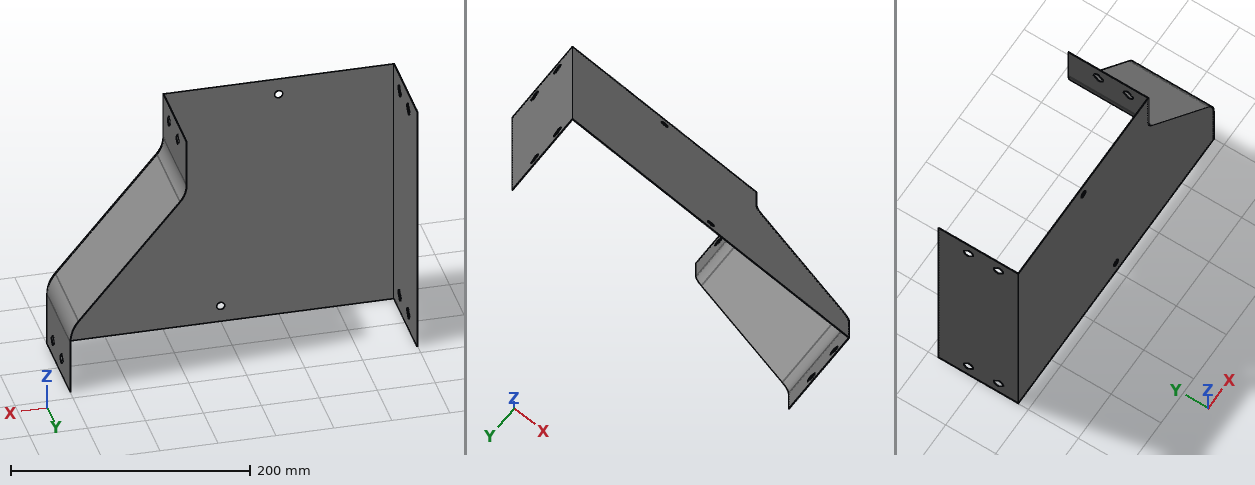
import cadquery as cq

length = 300.0
depth = 80.0
height = 230.0
thickness = 0.8

top_length = 199.8
upper_bend_z = 179.0
lower_bend_z = 60.0
upper_bend_radius = 24.0
lower_bend_radius = 30.0

hole_diameter = 7.0
edge_margin = 15.0
double_d_diameter = 10.0
double_d_width = hole_diameter
double_d_angle = 45.0
first_hole_y = 20.0
hole_spacing = 30.0


def profile_prism():
    """Filled side outline, extruded over the full depth, with rounded bends."""
    outline = [
        (0, 0),
        (length, 0),
        (length, lower_bend_z),
        (top_length, upper_bend_z),
        (top_length, height),
        (0, height),
    ]
    prism = cq.Workplane("XZ").polyline(outline).close().extrude(-depth)
    bends = [
        (length, lower_bend_z, lower_bend_radius),
        (top_length, upper_bend_z, upper_bend_radius),
    ]
    for x, z, radius in bends:
        bend_edge = cq.selectors.NearestToPointSelector((x, depth / 2, z))
        prism = prism.edges(bend_edge).fillet(radius)
    return prism


def bent_sheet():
    """Thin front plate with a left flange and a flange along the stepped edge."""
    return profile_prism().faces(">Y or >Z or <Z").shell(-thickness)


def plate_holes():
    """Round holes through the front plate, near its top and bottom edges."""
    centres = [
        (length / 3, height - edge_margin),
        (length / 2, edge_margin),
    ]
    return cq.Workplane("XZ").pushPoints(centres).circle(hole_diameter / 2).extrude(-thickness)


def flange_holes(outer_x, hole_heights, angle):
    """Pairs of inclined double-D holes through the upright flange with its outer face at outer_x."""
    hole_ys = (first_hole_y, first_hole_y + hole_spacing)
    centres = [(y, z) for y in hole_ys for z in hole_heights]
    plane = cq.Workplane("YZ", origin=(outer_x, 0, 0)).pushPoints(centres)
    band_sketch = cq.Sketch().rect(double_d_diameter, double_d_width, angle=angle)
    reach = 2 * thickness
    discs = plane.circle(double_d_diameter / 2).extrude(reach, both=True)
    bands = plane.placeSketch(band_sketch).extrude(reach, both=True)
    return discs.intersect(bands)


low_hole_z = edge_margin
high_hole_z = height - edge_margin

result = bent_sheet().cut(plate_holes())
result = result.cut(flange_holes(0, (low_hole_z, high_hole_z), -double_d_angle))
result = result.cut(flange_holes(length, (low_hole_z,), double_d_angle))
result = result.cut(flange_holes(top_length, (high_hole_z,), double_d_angle))